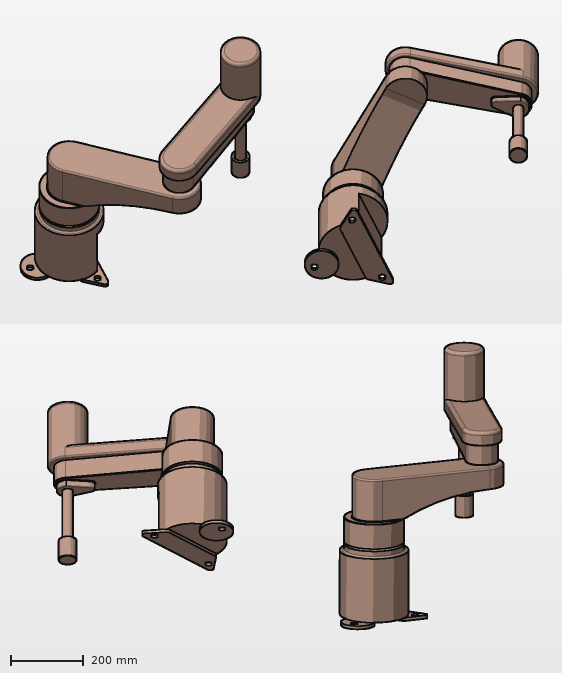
import cadquery as cq
import math

LINK_LENGTH = 320.0
SHOULDER_ANGLE = 50.0
ELBOW_ANGLE = 126.8

FLANGE_T = 10.0
COLUMN_D = 190.0
COLUMN_TOP = 191.5
FLAT_Y = 51.0
FLAT_TOP = 155.0
COLLAR_D = 166.0
RING_TOP = 210.0
RING_ROOT_FILLET = 5.0
NECK_D = 90.0
NECK_FILLET = 2.0
LUG_D = 93.5
LUG_Y = -94.0
LUG_HOLE_Y = -116.0
EAR_BACK_Y = 66.0
EAR_TIP_X = 145.5
EAR_ROOT_X = 93.5
EAR_CORNER_R = 10.0
EAR_HOLE = (105.0, 42.5)
MOUNT_HOLE_D = 19.0

COLLAR_BOTTOM = 217.0
COLLAR_TOP = 287.0
COLLAR_EDGE = 1.5
JOINT_Z = (RING_TOP + COLLAR_BOTTOM) / 2
ARM1_W = 120.0
ARM1_SKIRT = 2.0
ARM1_FOOT_X = 61.0
ARM1_TOP = 408.5
ARM1_TIP_BOTTOM = 347.0
ARM1_EDGE_FILLET = 5.0

ELBOW_BOSS_D = 60.0
BOX_BOTTOM = 412.0
BOX_ELBOW_R = 45.0
BOX_WRIST_R = 37.5
BOX_EDGE = 2.0
COVER_BOTTOM = 470.0
COVER_TOP = 511.0
COVER_W = 110.0
COVER_TOP_FILLET = 10.0
COVER_BOTTOM_FILLET = 5.0
TOWER_TOP = 651.5
BRACKET_R = 30.0
BRACKET_TIP_R = 12.5
BRACKET_REACH = 63.5
BRACKET_BOTTOM = 391.5
BRACKET_EDGE = 2.0

SHAFT_D = 30.0
TOOL_D = 50.0
TOOL_TOP = 232.0
TOOL_BOTTOM = 170.0
TOOL_EDGE = 1.5
SOCKET_D = 35.0
SOCKET_DEPTH = 7.0


def plan_offset(length, angle):
    """X and Y travelled along a heading in the XY plane."""
    return (length * math.cos(math.radians(angle)), length * math.sin(math.radians(angle)))


ELBOW_XY = plan_offset(LINK_LENGTH, SHOULDER_ANGLE)
FOREARM_XY = plan_offset(LINK_LENGTH, ELBOW_ANGLE)
WRIST_XY = (ELBOW_XY[0] + FOREARM_XY[0], ELBOW_XY[1] + FOREARM_XY[1])


def disc(diameter, bottom, top, center=(0, 0)):
    """Vertical cylinder between two heights."""
    return cq.Workplane("XY", origin=(*center, bottom)).circle(diameter / 2).extrude(top - bottom)


def flared_disc(diameter, root_z, free_z, flare):
    """Vertical cylinder with a concave fillet round its root, standing up or hanging down from it."""
    up = math.copysign(1, free_z - root_z)
    radius = diameter / 2
    arc_shift = flare * (1 - math.sqrt(0.5))
    return (
        cq.Workplane("XZ")
        .moveTo(0, root_z)
        .lineTo(radius + flare, root_z)
        .threePointArc((radius + arc_shift, root_z + up * arc_shift), (radius, root_z + up * flare))
        .lineTo(radius, free_z)
        .lineTo(0, free_z)
        .close()
        .revolve(360, (0, 0, 0), (0, 1, 0))
    )


def link(start_r, end_r, bottom, top, taper=0):
    """Bar with round ends along +X, from the origin to LINK_LENGTH, tangent to both end circles."""
    lean = (start_r - end_r) / LINK_LENGTH
    rise = math.sqrt(1 - lean**2)
    start_x, start_y = start_r * lean, start_r * rise
    end_x, end_y = LINK_LENGTH + end_r * lean, end_r * rise
    return (
        cq.Workplane("XY", origin=(0, 0, bottom))
        .moveTo(start_x, start_y)
        .lineTo(end_x, end_y)
        .threePointArc((LINK_LENGTH + end_r, 0), (end_x, -end_y))
        .lineTo(start_x, -start_y)
        .threePointArc((-start_r, 0), (start_x, start_y))
        .close()
        .extrude(top - bottom, taper=taper)
    )


def place(body, pivot, angle):
    """Turn a body built along +X to its heading and move it to its pivot."""
    return body.rotate((0, 0, 0), (0, 0, 1), angle).translate((*pivot, 0))


def make_mounting_flange():
    """Ear plate across the column and a round lug at the front, with three bolt holes."""
    ears = (
        cq.Workplane("XY")
        .polyline([
            (-EAR_TIP_X, EAR_BACK_Y),
            (EAR_TIP_X, EAR_BACK_Y),
            (EAR_ROOT_X, 0),
            (-EAR_ROOT_X, 0),
        ])
        .close()
        .extrude(FLANGE_T)
        .edges("|Z")
        .fillet(EAR_CORNER_R)
    )
    lug = disc(LUG_D, 0, FLANGE_T, (0, LUG_Y))
    ear_x, ear_y = EAR_HOLE
    holes = (
        cq.Workplane("XY")
        .pushPoints([(-ear_x, ear_y), (ear_x, ear_y), (0, LUG_HOLE_Y)])
        .circle(MOUNT_HOLE_D / 2)
        .extrude(FLANGE_T)
    )
    return ears.union(lug).cut(holes)


def make_base():
    """Column with a flat back, a filleted ring and a neck on top, standing on its flange."""
    back_cut = cq.Workplane("XY").box(
        COLUMN_D, COLUMN_D, FLAT_TOP - FLANGE_T, centered=(True, False, False)
    ).translate((0, FLAT_Y, FLANGE_T))
    column = disc(COLUMN_D, FLANGE_T, COLUMN_TOP).cut(back_cut)
    ring = flared_disc(COLLAR_D, COLUMN_TOP, RING_TOP, RING_ROOT_FILLET)
    neck = flared_disc(NECK_D, RING_TOP, JOINT_Z, NECK_FILLET)
    return column.union(ring).union(neck).union(make_mounting_flange())


def make_arm_underside_cut():
    """Space under the first arm: an arc that rises from the collar and is level at the elbow."""
    run = LINK_LENGTH - ARM1_FOOT_X
    rise = ARM1_TIP_BOTTOM - COLLAR_TOP
    sweep_r = (run**2 + rise**2) / (2 * rise)
    mid_x = LINK_LENGTH - run / 2
    mid_z = ARM1_TIP_BOTTOM - sweep_r + math.sqrt(sweep_r**2 - (run / 2)**2)
    far_x = LINK_LENGTH + ARM1_W
    return (
        cq.Workplane("XZ")
        .moveTo(ARM1_FOOT_X, COLLAR_TOP)
        .threePointArc((mid_x, mid_z), (LINK_LENGTH, ARM1_TIP_BOTTOM))
        .lineTo(far_x, ARM1_TIP_BOTTOM)
        .lineTo(far_x, COLLAR_TOP)
        .close()
        .extrude(ARM1_W, both=True)
    )


def make_first_arm():
    """Shoulder-to-elbow arm on its collar, with a half neck below that meets the base."""
    arm_r = ARM1_W / 2
    arm = link(arm_r, arm_r, COLLAR_TOP, ARM1_TOP).faces(">Z").edges().fillet(ARM1_EDGE_FILLET)
    foot_r = arm_r + ARM1_SKIRT
    skirt = link(foot_r, foot_r, COLLAR_TOP, COLLAR_TOP + ARM1_SKIRT, taper=45)
    skirt = skirt.intersect(disc(COLLAR_D - 2 * COLLAR_EDGE, COLLAR_TOP, ARM1_TOP))
    collar = disc(COLLAR_D, COLLAR_BOTTOM, COLLAR_TOP).faces(">Z").edges().chamfer(COLLAR_EDGE)
    neck = flared_disc(NECK_D, COLLAR_BOTTOM, JOINT_Z, NECK_FILLET)
    body = arm.union(skirt).cut(make_arm_underside_cut()).union(collar).union(neck)
    return place(body, (0, 0), SHOULDER_ANGLE)


def bracket_prism(bottom, top, taper=0):
    """Teardrop prism about the wrist axis, narrowing back towards the elbow."""
    half_w = BRACKET_R
    reach_sq = BRACKET_REACH**2 + half_w**2
    side = math.sqrt(reach_sq - BRACKET_TIP_R**2)
    slope = math.atan2(half_w, BRACKET_REACH) - math.asin(BRACKET_TIP_R / math.sqrt(reach_sq))
    touch_x = LINK_LENGTH - side * math.cos(slope)
    touch_y = half_w - side * math.sin(slope)
    tip_x = LINK_LENGTH - BRACKET_REACH - BRACKET_TIP_R
    return (
        cq.Workplane("XY", origin=(0, 0, bottom))
        .moveTo(LINK_LENGTH, half_w)
        .lineTo(touch_x, touch_y)
        .threePointArc((tip_x, 0), (touch_x, -touch_y))
        .lineTo(LINK_LENGTH, -half_w)
        .threePointArc((LINK_LENGTH + half_w, 0), (LINK_LENGTH, half_w))
        .close()
        .extrude(top - bottom, taper=taper)
    )


def make_second_arm():
    """Tapered box under a round-edged cover, with the wrist tower, elbow boss and spindle bracket."""
    cover_r = COVER_W / 2
    cover = link(cover_r, cover_r, COVER_BOTTOM, COVER_TOP)
    cover = cover.faces(">Z").edges().fillet(COVER_TOP_FILLET)
    short_of_wrist = cq.Workplane("XY", origin=(-COVER_W, 0, 0)).box(
        LINK_LENGTH + COVER_W, COVER_W, TOWER_TOP, centered=(False, True, False)
    )
    tower = disc(COVER_W, COVER_BOTTOM, TOWER_TOP, (LINK_LENGTH, 0))
    tower = tower.faces(">Z").edges().fillet(COVER_TOP_FILLET)
    shell = cover.intersect(short_of_wrist).union(tower)
    shell = shell.faces("<Z").edges().fillet(COVER_BOTTOM_FILLET)
    box = link(BOX_ELBOW_R, BOX_WRIST_R, BOX_BOTTOM, COVER_BOTTOM)
    box = box.faces("<Z").edges().chamfer(BOX_EDGE)
    boss = disc(ELBOW_BOSS_D, ARM1_TOP, BOX_BOTTOM)
    bracket = bracket_prism(BRACKET_BOTTOM, BOX_BOTTOM).faces("<Z").edges().fillet(BRACKET_EDGE)
    flare = bracket_prism(BOX_BOTTOM - BRACKET_EDGE, BOX_BOTTOM, taper=-45)
    body = shell.union(box).union(boss).union(bracket).union(flare)
    return place(body, ELBOW_XY, ELBOW_ANGLE)


def make_shaft():
    """Quill hanging from the bracket down into the tool holder."""
    return disc(SHAFT_D, TOOL_TOP - SOCKET_DEPTH, BRACKET_BOTTOM, WRIST_XY)


def make_tool_holder():
    """Cylinder at the lower end of the shaft, with a socket that the shaft stands in."""
    holder = disc(TOOL_D, TOOL_BOTTOM, TOOL_TOP, WRIST_XY).faces("<Z").edges().chamfer(TOOL_EDGE)
    return holder.cut(disc(SOCKET_D, TOOL_TOP - SOCKET_DEPTH, TOOL_TOP, WRIST_XY))


base = make_base()
first_arm = make_first_arm()
second_arm = make_second_arm()
shaft = make_shaft()
tool_holder = make_tool_holder()

result = cq.Compound.makeCompound([
    base.val(),
    first_arm.val(),
    second_arm.val(),
    shaft.val(),
    tool_holder.val(),
])